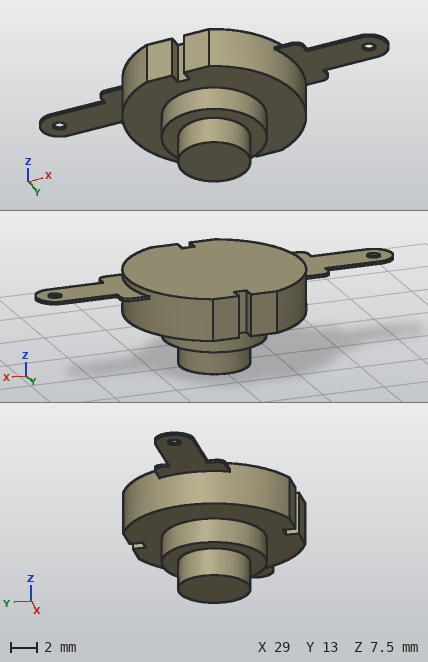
import cadquery as cq

overall_length = 29.0
overall_height = 7.5

case_diameter = 14.0
case_width = 13.0
case_height = 3.35
notch_width = 1.0
notch_depth = 1.02
neck_diameter = 8.0
neck_height = 1.95

plunger_diameter = 5.5

terminal_thickness = 0.2
terminal_top_gap = 0.5
strap_width = 3.0
head_width = 5.5
head_shoulder_x = 8.5
head_inner_x = 5.8
head_corner_diameter = 1.3
eyelet_diameter = 1.0

neck_bottom = overall_height - case_height - neck_height
case_bottom = neck_bottom + neck_height
terminal_bottom = overall_height - terminal_top_gap - terminal_thickness

plunger_height = neck_bottom
eyelet_x = overall_length / 2 - strap_width / 2
sides = (-1, 1)


def make_block(length, width, height):
    """Block centred on the Z axis and standing on Z = 0."""
    return cq.Workplane("XY").box(length, width, height, centered=(True, True, False))


def make_disc(diameter, height):
    """Disc centred on the Z axis and standing on Z = 0."""
    return cq.Workplane("XY").circle(diameter / 2).extrude(height)


def make_terminal(side):
    """Flat terminal on the -X side (side = -1) or the +X side (side = +1)."""
    head_length = head_shoulder_x - head_inner_x
    head = (
        make_block(head_length, head_width, terminal_thickness)
        .edges("|Z and >X")
        .fillet(head_corner_diameter / 2)
        .translate(((head_inner_x + head_shoulder_x) / 2, 0, 0))
    )
    strap_length = eyelet_x - head_inner_x
    strap = make_block(strap_length, strap_width, terminal_thickness).translate(
        ((head_inner_x + eyelet_x) / 2, 0, 0)
    )
    rounded_end = make_disc(strap_width, terminal_thickness).translate((eyelet_x, 0, 0))
    eyelet = make_disc(eyelet_diameter, terminal_thickness).translate((eyelet_x, 0, 0))
    terminal = head.union(strap).union(rounded_end).cut(eyelet)
    if side < 0:
        terminal = terminal.mirror("YZ")
    return terminal.translate((0, 0, terminal_bottom))


def make_case(terminals):
    """Case with a notch in each flat, a neck below and a matching slot for each terminal."""
    flats = make_block(case_diameter, case_width, case_height)
    case = make_disc(case_diameter, case_height).intersect(flats)
    notch = make_block(notch_width, 2 * notch_depth, case_height)
    for side in sides:
        case = case.cut(notch.translate((0, side * case_width / 2, 0)))
    case = case.translate((0, 0, case_bottom))
    neck = make_disc(neck_diameter, neck_height).translate((0, 0, neck_bottom))
    case = case.union(neck)
    for terminal in terminals:
        case = case.cut(terminal)
    return case


def make_plunger():
    """Round plunger that meets the end face of the neck."""
    return make_disc(plunger_diameter, plunger_height)


terminals = [make_terminal(side) for side in sides]
case = make_case(terminals)
plunger = make_plunger()

result = cq.Compound.makeCompound(
    [
        case.solids().val(),
        plunger.val(),
        *[terminal.solids().val() for terminal in terminals],
    ]
)